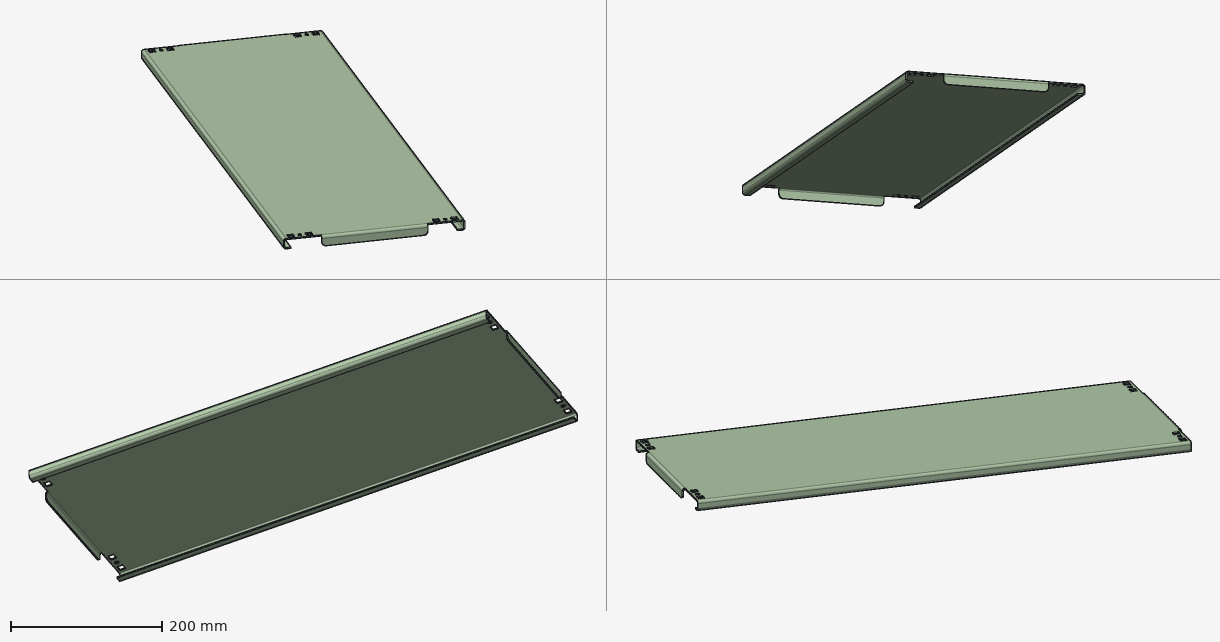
import cadquery as cq

overall_length = 699.0
overall_width = 250.0
overall_height = 15.0

sheet = 2.0
bend_radius = 4.0
inner_radius = bend_radius - sheet

panel_length = overall_length - 2 * bend_radius
lip_width = 10.5

tab_width = 146.0
tab_corner_radius = 6.0

hole_size = 8.5
hole_inset_x = 8.0
hole_inset_y = 12.5
hole_pitch = 25.0
slot_length = 6.25
slot_height = 4.0

top = overall_height / 2
bottom = -overall_height / 2
half_width = overall_width / 2
half_panel = panel_length / 2


def channel_block(width, height, radius):
    """Bar along X with a width by height section and rounded long edges."""
    return cq.Workplane("XY").box(panel_length, width, height).edges("|X").fillet(radius)


def flanged_panel():
    """Flat panel whose long sides turn down and end in inward lips."""
    outer = channel_block(overall_width, overall_height, bend_radius)
    inner = channel_block(overall_width - 2 * sheet, overall_height - 2 * sheet, inner_radius)
    lip_gap = cq.Workplane("XY").box(
        panel_length,
        overall_width - 2 * lip_width,
        overall_height / 2,
        centered=(True, True, False),
    )
    return outer.cut(inner).cut(lip_gap.translate((0, 0, bottom)))


def end_tab():
    """Tab bent down from the panel at the -X end, with rounded lower corners."""
    end = -overall_length / 2
    bend_start = end + bend_radius
    profile = (
        cq.Workplane("XZ")
        .moveTo(bend_start, top)
        .radiusArc((end, top - bend_radius), -bend_radius)
        .lineTo(end, bottom)
        .lineTo(end + sheet, bottom)
        .lineTo(end + sheet, top - bend_radius)
        .radiusArc((bend_start, top - sheet), inner_radius)
        .close()
    )
    tab = profile.extrude(tab_width / 2, both=True)
    return tab.faces("<Z").edges("|X").fillet(tab_corner_radius)


def corner_cutter():
    """Two square holes and the slot between them at the -X -Y corner."""
    first_y = -half_width + hole_inset_y
    hole_x = -half_panel + hole_inset_x
    sketch_plane = cq.Workplane("XY", origin=(0, 0, top - sheet))
    holes = (
        sketch_plane
        .pushPoints([(hole_x, first_y), (hole_x, first_y + hole_pitch)])
        .rect(hole_size, hole_size)
        .extrude(sheet)
    )
    slot = (
        sketch_plane
        .center(hole_x, first_y + hole_pitch / 2)
        .slot2D(slot_length, slot_height)
        .extrude(sheet)
    )
    return holes.union(slot)


left_cutter = corner_cutter()
left_cutter = left_cutter.union(left_cutter.mirror("XZ"))
left_tab = end_tab()

result = flanged_panel()
result = result.union(left_tab).union(left_tab.mirror("YZ"))
result = result.cut(left_cutter).cut(left_cutter.mirror("YZ"))